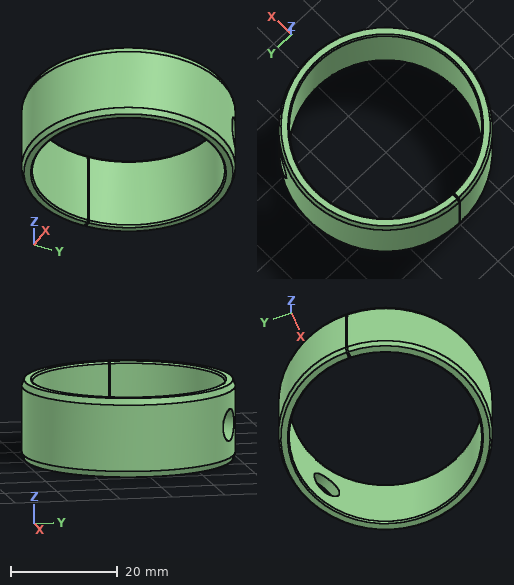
import cadquery as cq

outer_diameter = 40.0
wall = 2.0
height = 15.0
outer_chamfer_width = 0.45
outer_chamfer_height = 1.2
inner_chamfer_width = 0.3
inner_chamfer_height = 0.4
slit_angle = 1.0
oil_hole_diameter = 6.0
oil_hole_angle = 60.0 - slit_angle

outer_radius = outer_diameter / 2
inner_radius = outer_radius - wall
half_height = height / 2


def make_ring():
    """Revolve the wall section, chamfered at all four corners, about Z, leaving the slit open."""
    section = [
        (inner_radius, -half_height + inner_chamfer_height),
        (inner_radius + inner_chamfer_width, -half_height),
        (outer_radius - outer_chamfer_width, -half_height),
        (outer_radius, -half_height + outer_chamfer_height),
        (outer_radius, half_height - outer_chamfer_height),
        (outer_radius - outer_chamfer_width, half_height),
        (inner_radius + inner_chamfer_width, half_height),
        (inner_radius, half_height - inner_chamfer_height),
    ]
    profile = cq.Workplane("XZ").polyline(section).close()
    open_ring = profile.revolve(360 - slit_angle, (0, 0, 0), (0, -1, 0))
    return open_ring.rotate((0, 0, 0), (0, 0, 1), 180 - slit_angle)


def make_oil_hole():
    """Radial cylinder at mid height, reaching from the axis past the outer face."""
    drill = cq.Workplane("YZ").circle(oil_hole_diameter / 2).extrude(outer_diameter)
    return drill.rotate((0, 0, 0), (0, 0, 1), oil_hole_angle)


result = make_ring().cut(make_oil_hole())